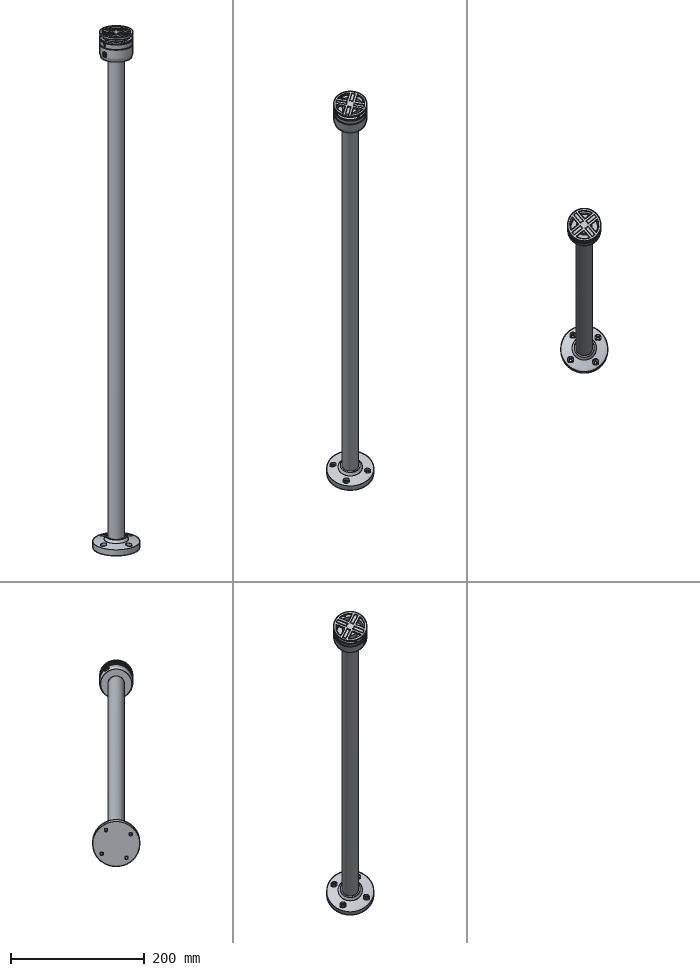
import cadquery as cq
import math

total_height = 831.0

foot_diameter = 71.0
foot_rim_height = 10.0
foot_bevel_diameter = 65.0
foot_bevel_height = 11.0
collar_base_diameter = 36.5
collar_base_height = 13.0
collar_top_diameter = 30.0
collar_top_height = 17.5
screw_circle_radius = 26.5
screw_hole_diameter = 5.0
screw_seat_diameter = 9.0
screw_seat_height = 7.5

pole_diameter = 25.0

head_diameter = 50.0
head_bottom = 791.0
head_taper_height = 6.0
head_taper_inset = 2.0
cap_thickness = 3.0
cap_gap = 5.0
cap_ring_width = 3.0
head_wall = 5.0
cup_depth = 11.0
joint_height = 811.0
lip_height = 3.0
groove_size = 1.0
clamp_hole_diameter = 8.0
clamp_hole_depth = 2.5
clamp_socket_diameter = 4.0
clamp_socket_depth = 4.0
clamp_hole_height = 801.0
mark_width = 4.0
mark_height = 7.0
mark_depth = 1.0

hub_diameter = 12.0
boss_diameter = 23.0
spoke_width = 12.5
spoke_groove_width = 5.0
spoke_groove_depth = 2.0
post_diameter = 2.5

cap_bottom = total_height - cap_thickness
body_top = cap_bottom - cap_gap
cup_floor = body_top - cup_depth
inner_diameter = head_diameter - 2 * head_wall
cap_opening = head_diameter - 2 * cap_ring_width
post_radius = (head_diameter - cap_ring_width) / 2
quarter_turns = [0, 90, 180, 270]


def disc(diameter, bottom, top):
    """Upright cylinder on the pole axis."""
    return cq.Workplane("XY").workplane(offset=bottom).circle(diameter / 2).extrude(top - bottom)


def ring(outer, inner, bottom, top):
    """Upright ring on the pole axis."""
    return disc(outer, bottom, top).cut(disc(inner, bottom, top))


def make_foot():
    """Turned foot with a shallow conical face, a tapered collar and four counterbored screw holes."""
    foot = (
        cq.Workplane("XZ")
        .moveTo(0, 0)
        .lineTo(foot_diameter / 2, 0)
        .lineTo(foot_diameter / 2, foot_rim_height)
        .lineTo(foot_bevel_diameter / 2, foot_bevel_height)
        .lineTo(collar_base_diameter / 2, collar_base_height)
        .lineTo(collar_top_diameter / 2, collar_top_height)
        .lineTo(0, collar_top_height)
        .close()
        .revolve(360, (0, 0, 0), (0, 1, 0))
    )
    hole = disc(screw_hole_diameter, 0, collar_base_height)
    seat = disc(screw_seat_diameter, screw_seat_height, collar_base_height)
    screw = hole.union(seat).translate((screw_circle_radius, 0, 0))
    for angle in quarter_turns:
        foot = foot.cut(screw.rotate((0, 0, 0), (0, 0, 1), angle))
    return foot


def make_head_body():
    """Tapered cup with two grooves, a clamp screw hole and an alignment mark at the front."""
    body = disc(head_diameter, head_bottom, body_top)
    body = body.faces("<Z").chamfer(head_taper_height, head_taper_inset)
    body = body.cut(disc(inner_diameter, cup_floor, body_top))
    groove_floor = head_diameter - 2 * groove_size
    for height in (joint_height, body_top - lip_height):
        body = body.cut(ring(head_diameter, groove_floor, height, height + groove_size))
    front = cq.Workplane("XZ", origin=(0, -head_diameter / 2, 0))
    clamp_axis = front.center(0, clamp_hole_height)
    clamp_hole = clamp_axis.circle(clamp_hole_diameter / 2).extrude(-clamp_hole_depth)
    clamp_socket = clamp_axis.circle(clamp_socket_diameter / 2).extrude(-clamp_socket_depth)
    mark_tip = joint_height + groove_size
    mark = (
        front.moveTo(0, mark_tip)
        .lineTo(mark_width / 2, mark_tip + mark_height)
        .lineTo(-mark_width / 2, mark_tip + mark_height)
        .close()
        .extrude(-mark_depth)
    )
    return body.cut(clamp_hole).cut(clamp_socket).cut(mark)


def make_cross(length, width, bottom, height):
    """Two equal bars crossing at right angles on the pole axis."""
    bar = cq.Workplane("XY").box(length, width, height, centered=(True, True, False))
    bar = bar.translate((0, 0, bottom))
    return bar.union(bar.rotate((0, 0, 0), (0, 0, 1), 90))


def make_cap():
    """Ring with grooved spokes, carried on a stepped centre boss and four thin posts."""
    cap = ring(head_diameter, cap_opening, cap_bottom, total_height)
    cap = cap.union(make_cross(head_diameter - cap_ring_width, spoke_width, cap_bottom, cap_thickness))
    groove_bottom = total_height - spoke_groove_depth
    cap = cap.cut(make_cross(cap_opening, spoke_groove_width, groove_bottom, spoke_groove_depth))
    cap = cap.union(disc(boss_diameter, cup_floor, body_top))
    cap = cap.union(disc(hub_diameter, body_top, total_height))
    for angle in quarter_turns:
        direction = math.radians(angle + 45)
        place = (post_radius * math.cos(direction), post_radius * math.sin(direction), 0)
        cap = cap.union(disc(post_diameter, body_top, cap_bottom).translate(place))
    return cap


pole = disc(pole_diameter, 0, cup_floor)
result = make_foot().union(pole).union(make_head_body()).union(make_cap())